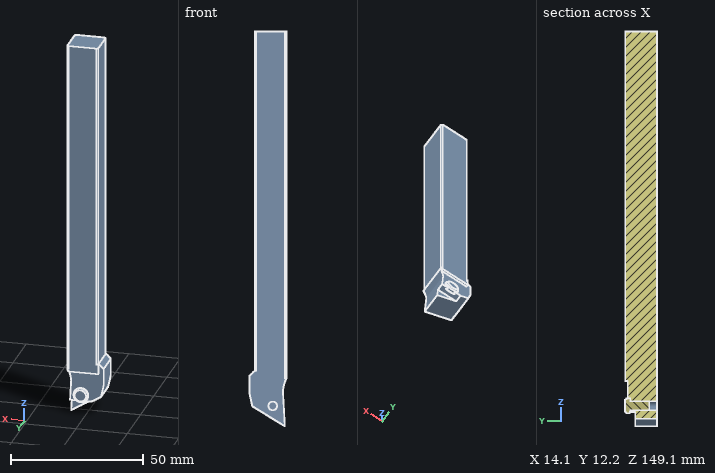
import cadquery as cq

total_length = 149.1
shank_width = 12.1
bevel = 0.6

nose_overhang = 2.0
ramp_top_z = 21.0
ramp_bottom_z = ramp_top_z - nose_overhang
nose_bottom_z = 12.4
heel_x = -0.9
heel_z = 7.6
tip_x = 11.5
neck_x = 10.7
neck_z = 13.4
neck_top_z = 18.2
neck_curve_x = 11.2
neck_curve_z = 15.8

head_thickness = 11.2
head_back_top_z = 17.1
seat_y = 8.3
seat_top_z = 5.4

screw_x = 6.9
screw_z = 7.8
screw_radius = 1.6
screw_head_radius = 2.8
screw_front_y = 3.0
screw_head_front_y = 10.3
screw_back_y = 12.2
screw_head_bevel = 0.6


def box_between(low, high):
    """Box spanning two opposite corners."""
    size = [b - a for a, b in zip(low, high)]
    return cq.Workplane("XY").box(*size, centered=False).translate(low)


def screw_cylinder(radius, front_y, back_y):
    """Cylinder on the screw axis between two Y positions."""
    plane = cq.Plane(origin=(screw_x, front_y, screw_z), xDir=(1, 0, 0), normal=(0, 1, 0))
    return cq.Workplane(plane).circle(radius).extrude(back_y - front_y)


def shank_bevel(x, y, bottom_z):
    """Diamond prism that cuts the 45 degree bevel on one long shank edge."""
    return (
        cq.Workplane("XY", origin=(x, y, bottom_z))
        .moveTo(-bevel, 0)
        .lineTo(0, -bevel)
        .lineTo(bevel, 0)
        .lineTo(0, bevel)
        .close()
        .extrude(total_length - bottom_z)
    )


def make_blank():
    """Shank and head outline in XZ, extruded from the front face at Y = 0."""
    return (
        cq.Workplane("XZ")
        .moveTo(0, total_length)
        .lineTo(0, ramp_top_z)
        .lineTo(-nose_overhang, ramp_bottom_z)
        .lineTo(-nose_overhang, nose_bottom_z)
        .lineTo(heel_x, heel_z)
        .lineTo(tip_x, 0)
        .lineTo(neck_x, neck_z)
        .threePointArc((neck_curve_x, neck_curve_z), (shank_width, neck_top_z))
        .lineTo(shank_width, total_length)
        .close()
        .extrude(-shank_width)
    )


def make_holder():
    holder = make_blank()

    for x, bottom_z in ((0, ramp_top_z), (shank_width, neck_top_z)):
        for y in (0, shank_width):
            holder = holder.cut(shank_bevel(x, y, bottom_z))

    left = -nose_overhang
    holder = holder.cut(
        box_between((left, head_thickness, 0), (shank_width, shank_width, head_back_top_z))
    )
    holder = holder.cut(box_between((left, head_thickness, 0), (0, shank_width, ramp_top_z)))

    holder = holder.cut(box_between((left, seat_y, 0), (shank_width, shank_width, seat_top_z)))

    holder = holder.cut(screw_cylinder(screw_radius, 0, shank_width))
    return holder.cut(screw_cylinder(screw_head_radius, screw_head_front_y, shank_width))


def make_screw():
    shank = screw_cylinder(screw_radius, screw_front_y, screw_head_front_y)
    head = screw_cylinder(screw_head_radius, screw_head_front_y, screw_back_y)
    head = head.faces(">Y").chamfer(screw_head_bevel)
    return head.union(shank)


holder = make_holder()
screw = make_screw()
result = cq.Compound.makeCompound([holder.val(), screw.val()])